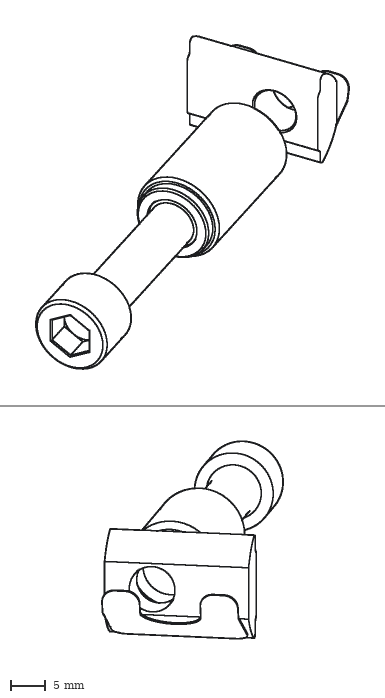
import cadquery as cq
import math


head_diameter = 11.5
head_length = 8.0
head_chamfer = 0.45
shank_diameter = 6.95
thread_diameter = 8.0
neck_length = 1.9
hex_across_flats = 6.0
hex_chamfer = 0.19
hex_depth = 4.0
hex_point_angle = math.radians(120)
hex_chamfer_taper = 45
hex_sides = 6

sleeve_front = 31.95
sleeve_end = 56.1
sleeve_diameter = 13.15
collar_length = 1.6
collar_chamfer = 0.3
sleeve_front_chamfer = 0.45
sleeve_end_chamfer = 1.0

nut_length = 21.0
nut_center_x = -3.55
nut_front = 64.1
nut_back = 70.0
nut_hole_diameter = 6.65
nut_hole_chamfer = 0.2
front_half_height = 4.3
back_half_height = 3.8
step_radius = 0.75
step_inner_radius = 0.5
step_angle = math.radians(65)
tip_radius = 0.75
tip_center_height = 6.8
tip_end_angle = math.radians(63)
back_arc_radius = 9.0

clip_thickness = 0.2
clip_width = 19.8
clip_slope = math.radians(30.5)
clip_start = 66.05
clip_bend = 74.4
clip_bend_radius = 0.45
ear_length = 3.55
ear_slope = math.radians(75)
ear_corner_radius = 2.0
tail_corner_radius = 2.0
notch_width = 8.85
notch_past_bend = 0.45


def revolve_about_y(points):
    """Solid of revolution about the Y axis from (radius, y) points."""
    return cq.Workplane("XY").polyline(points).close().revolve(360, (0, 0, 0), (0, 1, 0))


def shifted(point, direction, distance):
    """Point moved by the distance along a unit direction."""
    return (point[0] + direction[0] * distance, point[1] + direction[1] * distance)


def on_circle(center, radius, angle):
    """Point of a circle at the given angle."""
    return (center[0] + radius * math.cos(angle), center[1] + radius * math.sin(angle))


def make_screw():
    head_radius = head_diameter / 2
    shank_radius = shank_diameter / 2
    thread_radius = thread_diameter / 2
    shoulder = thread_radius - shank_radius
    body = revolve_about_y([
        (0, 0),
        (head_radius - head_chamfer, 0),
        (head_radius, head_chamfer),
        (head_radius, head_length),
        (thread_radius, head_length),
        (shank_radius, head_length + neck_length),
        (shank_radius, sleeve_front),
        (thread_radius, sleeve_front + shoulder),
        (thread_radius, sleeve_end),
        (0, sleeve_end),
    ])
    hex_socket = (
        cq.Workplane("XZ")
        .polygon(hex_sides, hex_across_flats, circumscribed=True)
        .extrude(-hex_depth)
    )
    hex_entry = (
        cq.Workplane("XZ")
        .polygon(hex_sides, hex_across_flats + 2 * hex_chamfer, circumscribed=True)
        .extrude(-hex_chamfer, taper=hex_chamfer_taper)
    )
    point_radius = hex_across_flats / 2
    point_depth = point_radius / math.tan(hex_point_angle / 2)
    socket_point = revolve_about_y([
        (0, hex_depth),
        (point_radius, hex_depth),
        (0, hex_depth + point_depth),
    ])
    return body.cut(hex_socket).cut(hex_entry).cut(socket_point)


def make_sleeve():
    bore_radius = thread_diameter / 2
    collar_radius = head_diameter / 2
    sleeve_radius = sleeve_diameter / 2
    collar_end = sleeve_front + collar_length
    return revolve_about_y([
        (bore_radius, sleeve_front),
        (collar_radius - collar_chamfer, sleeve_front),
        (collar_radius, sleeve_front + collar_chamfer),
        (collar_radius, collar_end),
        (sleeve_radius - sleeve_front_chamfer, collar_end),
        (sleeve_radius, collar_end + sleeve_front_chamfer),
        (sleeve_radius, sleeve_end - sleeve_end_chamfer),
        (sleeve_radius - sleeve_end_chamfer, sleeve_end),
        (bore_radius, sleeve_end),
    ])


step_center = (nut_front + step_radius, front_half_height)
step_middle = on_circle(step_center, step_radius, math.pi - step_angle / 2)
step_join = on_circle(step_center, step_radius, math.pi - step_angle)
inner_center = on_circle(step_center, step_radius + step_inner_radius, math.pi - step_angle)
inner_middle = on_circle(inner_center, step_inner_radius, -step_angle / 2)
lip_start = (inner_center[0] + step_inner_radius, inner_center[1])
lip_y = lip_start[0]
tip_center = (lip_y + tip_radius, tip_center_height)
tip_middle = on_circle(tip_center, tip_radius, (math.pi + tip_end_angle) / 2)
tip_end = on_circle(tip_center, tip_radius, tip_end_angle)
back_corner = (nut_back, back_half_height)

chord = (back_corner[0] - tip_end[0], back_corner[1] - tip_end[1])
chord_length = math.hypot(*chord)
chord_middle = ((tip_end[0] + back_corner[0]) / 2, (tip_end[1] + back_corner[1]) / 2)
center_offset = math.sqrt(back_arc_radius**2 - (chord_length / 2) ** 2)
outward = (-chord[1] / chord_length, chord[0] / chord_length)
back_center = shifted(chord_middle, outward, -center_offset)
back_middle = shifted(back_center, outward, back_arc_radius)


def make_nut():
    half = (
        cq.Workplane("YZ")
        .moveTo(nut_front, 0)
        .lineTo(nut_front, front_half_height)
        .threePointArc(step_middle, step_join)
        .threePointArc(inner_middle, lip_start)
        .lineTo(lip_y, tip_center_height)
        .threePointArc(tip_middle, tip_end)
        .threePointArc(back_middle, back_corner)
        .lineTo(nut_back, 0)
        .close()
        .extrude(nut_length / 2, both=True)
        .translate((nut_center_x, 0, 0))
    )
    body = half.union(half.mirror("XY"))
    hole_radius = nut_hole_diameter / 2
    hole = revolve_about_y([
        (0, nut_front),
        (hole_radius + nut_hole_chamfer, nut_front),
        (hole_radius, nut_front + nut_hole_chamfer),
        (hole_radius, nut_back),
        (0, nut_back),
    ])
    return body.cut(hole)


def make_clip():
    along = (math.cos(clip_slope), math.sin(clip_slope))
    inward = (-along[1], along[0])
    lower_arc_center = (back_center[0], -back_center[1])
    contact = shifted(lower_arc_center, inward, -back_arc_radius)

    def on_leaf(y):
        """Point of the leaf's upper side at the given y."""
        return (y, contact[1] + (y - contact[0]) * math.tan(clip_slope))

    start = on_leaf(clip_start)
    bend = on_leaf(clip_bend)
    ear_along = (math.cos(ear_slope), math.sin(ear_slope))
    ear_outward = (ear_along[1], -ear_along[0])
    miter = clip_thickness * math.tan((ear_slope - clip_slope) / 2)
    outer_bend = shifted(shifted(bend, along, miter), inward, -clip_thickness)
    ear_end = shifted(bend, ear_along, ear_length)
    strip = (
        cq.Workplane("YZ")
        .polyline([
            start,
            bend,
            ear_end,
            shifted(ear_end, ear_outward, clip_thickness),
            outer_bend,
            shifted(start, inward, -clip_thickness),
        ])
        .close()
        .extrude(clip_width / 2, both=True)
        .edges(cq.selectors.NearestToPointSelector((0, *bend)))
        .fillet(clip_bend_radius)
        .edges(cq.selectors.NearestToPointSelector((0, *outer_bend)))
        .fillet(clip_bend_radius + clip_thickness)
    )

    notch_center = shifted(bend, along, notch_past_bend)
    notch_radius = notch_width / 2
    leaf_plane = cq.Plane(origin=(0, *notch_center), xDir=(1, 0, 0), normal=(0, *inward))
    notch = (
        cq.Workplane(leaf_plane)
        .moveTo(-notch_radius, ear_length)
        .lineTo(-notch_radius, 0)
        .threePointArc((0, -notch_radius), (notch_radius, 0))
        .lineTo(notch_radius, ear_length)
        .close()
        .extrude(2 * ear_length, both=True)
    )
    return (
        strip.cut(notch)
        .edges(cq.selectors.ParallelDirSelector(cq.Vector(0, *ear_outward)))
        .edges(">Z")
        .fillet(ear_corner_radius)
        .edges(cq.selectors.ParallelDirSelector(cq.Vector(0, *inward)))
        .edges("<Y")
        .fillet(tail_corner_radius)
        .translate((nut_center_x, 0, 0))
    )


screw = make_screw()
sleeve = make_sleeve()
nut = make_nut()
clip = make_clip()

result = cq.Compound.makeCompound([screw.val(), sleeve.val(), nut.val(), clip.val()])